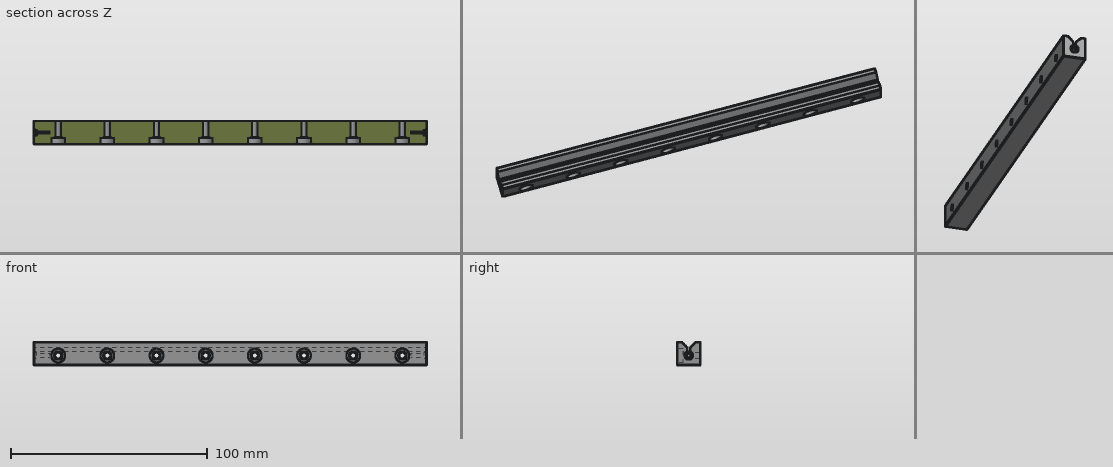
import cadquery as cq
import math

length = 200
width = 12
height = 12
edge_chamfer = 0.35

vee_width = 7.5
slot_width = 1.5
slot_floor_height = 7.0
vee_depth = (vee_width - slot_width) / 2

hole_count = 8
hole_pitch = length / hole_count
hole_height = 5.0
bore_diameter = 3.2
bore_countersink_diameter = 4.2
counterbore_diameter = 7.0
counterbore_depth = 3.2

end_hole_diameter = 2.2
end_hole_depth = 8
end_step_diameter = 3.2
end_step_depth = 1.5
end_countersink_diameter = 4.2
drill_point_angle = 118


def rail_body():
    """Square bar with every outer edge chamfered."""
    bar = cq.Workplane("XY").box(length, width, height).translate((length / 2, 0, height / 2))
    return bar.edges().chamfer(edge_chamfer)


def raceway():
    """V groove and relief slot along the whole rail, as a solid to remove."""
    vee_root_height = height - vee_depth
    outline = [
        (vee_width / 2, height),
        (slot_width / 2, vee_root_height),
        (slot_width / 2, slot_floor_height),
        (-slot_width / 2, slot_floor_height),
        (-slot_width / 2, vee_root_height),
        (-vee_width / 2, height),
    ]
    return cq.Workplane("YZ").polyline(outline).close().extrude(length)


def cylinder(start, direction, diameter, depth):
    return cq.Workplane(cq.Solid.makeCylinder(diameter / 2, depth, start, direction))


def cone(start, direction, mouth_diameter, end_diameter, included_angle=90):
    """Conical cut that narrows along the direction."""
    depth = (mouth_diameter - end_diameter) / 2 / math.tan(math.radians(included_angle / 2))
    return cq.Workplane(cq.Solid.makeCone(mouth_diameter / 2, end_diameter / 2, depth, start, direction))


def mounting_hole(x):
    inward = cq.Vector(0, 1, 0)
    mouth = cq.Vector(x, -width / 2, hole_height)
    seat = mouth + inward * counterbore_depth
    bore = cylinder(mouth, inward, bore_diameter, width)
    counterbore = cylinder(mouth, inward, counterbore_diameter, counterbore_depth)
    countersink = cone(seat, inward, bore_countersink_diameter, bore_diameter)
    return bore.union(counterbore).union(countersink)


def end_hole(x, inward):
    mouth = cq.Vector(x, 0, hole_height)
    floor = mouth + inward * end_hole_depth
    drilled = cylinder(mouth, inward, end_hole_diameter, end_hole_depth)
    drill_point = cone(floor, inward, end_hole_diameter, 0, drill_point_angle)
    step = cylinder(mouth, inward, end_step_diameter, end_step_depth)
    countersink = cone(mouth, inward, end_countersink_diameter, end_step_diameter)
    return drilled.union(drill_point).union(step).union(countersink)


result = rail_body().cut(raceway())
for index in range(hole_count):
    result = result.cut(mounting_hole((index + 0.5) * hole_pitch))
result = result.cut(end_hole(0, cq.Vector(1, 0, 0)))
result = result.cut(end_hole(length, cq.Vector(-1, 0, 0)))